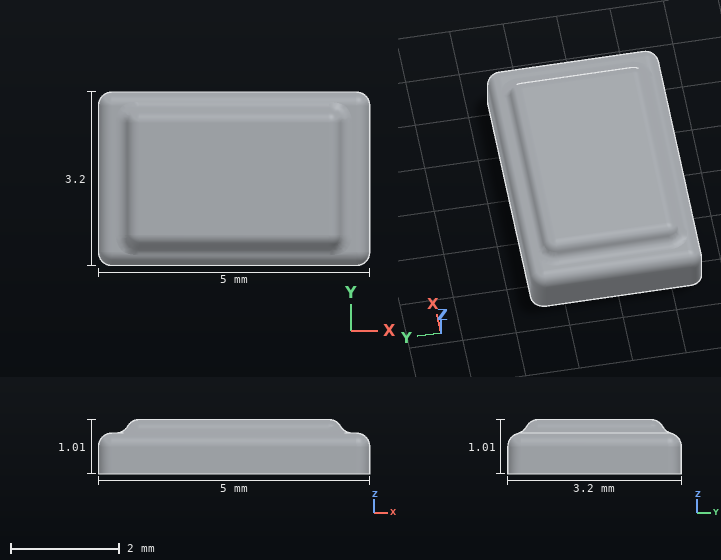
import cadquery as cq

length = 5
width = 3.2
total_height = 1.01
edge_radius = 0.25

pad_height = edge_radius
pad_inset_x = 0.505
pad_inset_y = 0.315
pad_half_length = length / 2 - pad_inset_x
pad_half_width = width / 2 - pad_inset_y
base_height = total_height - pad_height
pad_root_depth = edge_radius

tolerance = 0.005


def rounded_block(size_x, size_y, bottom, top):
    """Block with rounded upright edges and a rounded top rim."""
    block = cq.Workplane("XY").workplane(offset=bottom)
    block = block.box(size_x, size_y, top - bottom, centered=(True, True, False))
    block = block.edges("|Z").fillet(edge_radius)
    return block.faces(">Z").edges().fillet(edge_radius)


base = rounded_block(length, width, 0, base_height)
pad = rounded_block(2 * pad_half_length, 2 * pad_half_width, base_height - pad_root_depth, total_height)

seam = cq.selectors.BoxSelector(
    (-pad_half_length - tolerance, -pad_half_width - tolerance, base_height - tolerance),
    (pad_half_length + tolerance, pad_half_width + tolerance, base_height + tolerance),
    boundingbox=True,
)
result = base.union(pad).edges(seam).fillet(edge_radius)